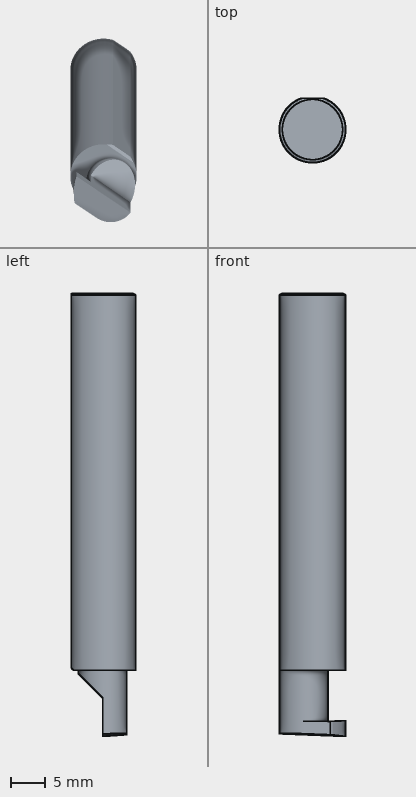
import cadquery as cq
import math

total_length = 63.5
shank_radius = 4.75
flat_y = 4.5
shank_bottom_z = 9.45
top_chamfer_radial = 0.45
top_chamfer_height = 0.25
flat_edge_chamfer = 0.4

neck_radius = 3.5
neck_x = neck_radius - shank_radius
runout_z = 5.5

head_top_z = 2.15
tip_top_z = 2.3
fold_x = 1.85
clearance_radius = 4.3
heel_end_y = -3.2
clearance_mid = (3.95, -1.8)
end_relief_x = 0.04
end_relief_y = 0.05


def make_shank():
    shank_length = total_length - shank_bottom_z
    profile = (
        cq.Workplane("XZ")
        .moveTo(0, shank_bottom_z)
        .lineTo(shank_radius, shank_bottom_z)
        .lineTo(shank_radius, total_length - top_chamfer_height)
        .lineTo(shank_radius - top_chamfer_radial, total_length)
        .lineTo(0, total_length)
        .close()
    )
    shank = profile.revolve(360, (0, 0, 0), (0, 1, 0))
    keep = (
        cq.Workplane("XY", origin=(0, flat_y - shank_radius, shank_bottom_z))
        .box(2 * shank_radius, 2 * shank_radius, shank_length, centered=(True, True, False))
        .faces(">Y").edges("<Z").chamfer(flat_edge_chamfer)
    )
    return shank.intersect(keep)


def make_neck():
    neck = cq.Workplane("XY").center(neck_x, 0).circle(neck_radius).extrude(shank_bottom_z)
    runout_end_z = runout_z + shank_radius
    rake_cut = (
        cq.Workplane("YZ", origin=(-2 * shank_radius, 0, 0))
        .polyline([(0, 0), (0, runout_z), (shank_radius, runout_end_z), (shank_radius, 0)])
        .close()
        .extrude(4 * shank_radius)
    )
    return neck.cut(rake_cut)


def point_on_heel(y):
    return math.sqrt(clearance_radius**2 - y**2), y


def make_head():
    outline = (
        cq.Workplane("XY")
        .moveTo(neck_x, 0)
        .lineTo(neck_x, -neck_radius)
        .lineTo(*point_on_heel(-neck_radius))
        .lineTo(*point_on_heel(heel_end_y))
        .threePointArc(clearance_mid, (shank_radius, 0))
        .close()
        .extrude(tip_top_z)
    )
    height_profile = (
        cq.Workplane("XZ")
        .polyline([
            (neck_x, 0), (neck_x, head_top_z), (fold_x, head_top_z),
            (shank_radius, tip_top_z), (shank_radius, 0),
        ])
        .close()
        .extrude(neck_radius)
    )
    return outline.intersect(height_profile)


def make_end_relief():
    size = 4 * shank_radius
    normal = (end_relief_x, end_relief_y, 1)
    end_plane = cq.Plane(origin=(shank_radius, 0, 0), normal=normal)
    return cq.Workplane(end_plane).rect(2 * size, 2 * size).extrude(-size)


tool_end = make_neck().union(make_head()).cut(make_end_relief())
result = make_shank().union(tool_end)